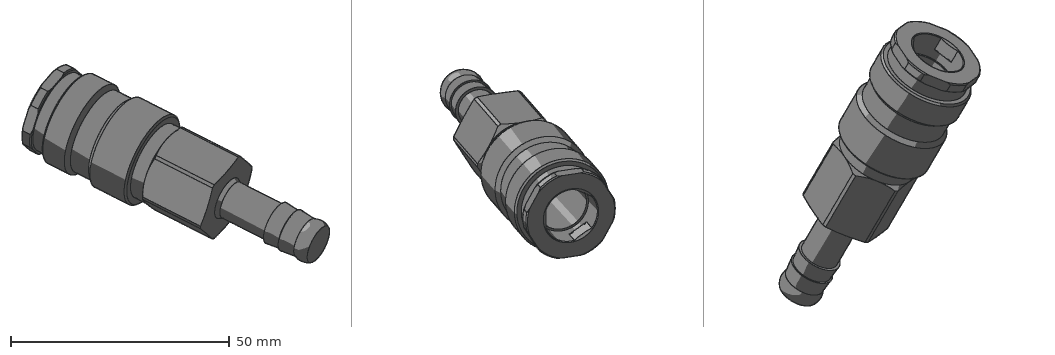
import cadquery as cq
import math

total_length = 74.5

collar_length = 2.6
collar_across_flats = 20.8
collar_corner_diameter = 21.8
collar_chamfer = 0.3

front_neck_diameter = 20.0
sleeve_start = 5.9
sleeve_end = 29.1
sleeve_diameter = 23.0
sleeve_chamfer = 0.45
waist_start = 13.25
waist_end = 18.25
waist_diameter = 21.0
rear_neck_diameter = 19.0

hex_start = 32.5
hex_end = 49.4
hex_across_flats = 19.0
hex_corner_diameter = 21.45
hex_front_chamfer = 0.75
hex_rear_chamfer = 0.2

stem_diameter = 9.2
stem_flare_height = 0.6
stem_flare_length = 1.05
barb_start = 62.9
barb_pitch = 4.0
barb_count = 2
barb_peak_diameter = 10.5
barb_root_diameter = 9.7
tip_diameter = 9.3

mouth_diameter = 13.5
mouth_chamfer_length = 0.4
socket_diameter = 13.0
socket_depth = 6.1
key_length = 3.65
bore_diameter = 12.0
bore_depth = 22.35
key_flat_count = 3


def cylinder(start, end, diameter):
    return cq.Workplane("YZ", origin=(start, 0, 0)).circle(diameter / 2).extrude(end - start)


def hexagon(start, end, across_flats):
    """Hexagonal bar with two of its flats facing +Z and -Z."""
    across_corners = across_flats / math.cos(math.pi / 6)
    return cq.Workplane("YZ", origin=(start, 0, 0)).polygon(6, across_corners).extrude(end - start)


def revolve_profile(points):
    """Solid of revolution about X from (x, radius) points, closed along the axis."""
    closed = [(points[0][0], 0)] + points + [(points[-1][0], 0)]
    return cq.Workplane("XY").polyline(closed).close().revolve(360, (0, 0, 0), (1, 0, 0))


def make_collar():
    turned = cylinder(0, collar_length, collar_corner_diameter).edges().chamfer(collar_chamfer)
    return hexagon(0, collar_length, collar_across_flats).intersect(turned)


def make_sleeve():
    outer = sleeve_diameter / 2
    waist = waist_diameter / 2
    slope = outer - waist
    edge = outer - sleeve_chamfer
    return revolve_profile([
        (sleeve_start, edge),
        (sleeve_start + sleeve_chamfer, outer),
        (waist_start - slope, outer),
        (waist_start, waist),
        (waist_end, waist),
        (waist_end + slope, outer),
        (sleeve_end - sleeve_chamfer, outer),
        (sleeve_end, edge),
    ])


def make_wrench_hexagon():
    flat = hex_across_flats / 2
    corner = hex_corner_diameter / 2
    turned = revolve_profile([
        (hex_start, flat),
        (hex_start + hex_front_chamfer, corner),
        (hex_end - hex_rear_chamfer, corner),
        (hex_end, flat),
    ])
    return hexagon(hex_start, hex_end, hex_across_flats).intersect(turned)


def make_hose_stem():
    stem = stem_diameter / 2
    peak = barb_peak_diameter / 2
    root = barb_root_diameter / 2
    tip_start = barb_start + barb_count * barb_pitch
    outline = (
        cq.Workplane("XY")
        .moveTo(hex_end, 0)
        .lineTo(hex_end, stem + stem_flare_height)
        .lineTo(hex_end + stem_flare_length, stem)
        .lineTo(barb_start, stem)
    )
    for i in range(barb_count):
        start = barb_start + i * barb_pitch
        outline = outline.lineTo(start, peak).lineTo(start + barb_pitch, root)
    outline = (
        outline
        .threePointArc(((tip_start + total_length) / 2, peak), (total_length, tip_diameter / 2))
        .lineTo(total_length, 0)
        .close()
    )
    return outline.revolve(360, (0, 0, 0), (1, 0, 0))


def make_socket():
    """Void of the socket: chamfered mouth, keyed entry, round socket and smaller blind bore."""
    entry = cylinder(0, key_length, socket_diameter)
    for i in range(key_flat_count):
        flat = (
            cq.Workplane("XY")
            .box(key_length, socket_diameter, socket_diameter, centered=(False, False, True))
            .translate((0, bore_diameter / 2, 0))
            .rotate((0, 0, 0), (1, 0, 0), i * 360 / key_flat_count)
        )
        entry = entry.cut(flat)
    mouth = revolve_profile([(0, mouth_diameter / 2), (mouth_chamfer_length, bore_diameter / 2)])
    return (
        entry
        .union(mouth)
        .union(cylinder(key_length, socket_depth, socket_diameter))
        .union(cylinder(socket_depth, bore_depth, bore_diameter))
    )


result = (
    make_collar()
    .union(cylinder(collar_length, sleeve_start, front_neck_diameter))
    .union(make_sleeve())
    .union(cylinder(sleeve_end, hex_start, rear_neck_diameter))
    .union(make_wrench_hexagon())
    .union(make_hose_stem())
    .cut(make_socket())
)